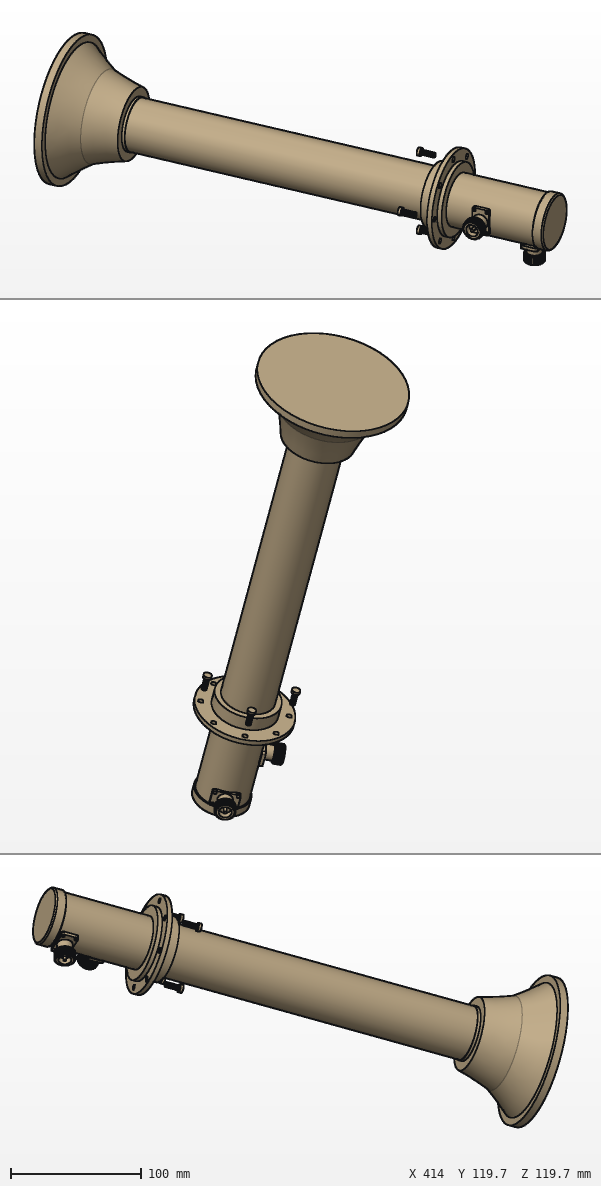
import cadquery as cq
import math

mouth_radius = 59.83
mouth_thickness = 6.5
flare_start_radius = 54.0
flare_middle_x = 29.0
flare_middle_radius = 37.5
flare_end_x = 56.7
flare_end_radius = 29.5
flare_sag = 0.5

overall_length = 414.0
tube_radius = 21.5
throat_length = 2.5
throat_radius = 22.0

flange_x = 323.8
flange_thickness = 4.0
flange_radius = 39.7
hub_length = 11.5
hub_radius = 26.5
ring_length = 3.7
ring_radius = 30.0
bolt_circle_radius = 34.8
bolt_hole_count = 8
bolt_hole_diameter = 4.0

cap_length = 8.5
cap_radius = 22.8
cap_chamfer = 1.2

side_connector_x = 361.5
bottom_connector_x = 396.5
plate_width = 14.0
plate_length = 22.5
plate_corner_radius = 1.5
plate_bottom = 20.3
plate_thickness = 3.0
plate_hole_diameter = 2.5
plate_hole_spacing_x = 10.8
plate_hole_spacing_y = 18.2
neck_radius = 6.2
nut_start = 30.2
nut_end = 38.5
nut_radius = 8.3
nut_chamfer = 1.2
knurl_count = 24
knurl_radius = 0.62
bore_radius = 5.0
bore_depth = 6.0
contact_radius = 1.2

screw_count = 4
screw_x = 298.0
screw_head_length = 2.5
screw_head_radius = 3.5
shank_radius = 2.0
thread_pitch = 1.0
thread_depth = 0.5
thread_count = 14


def disc(start_x, length, radius):
    """A cylinder along the tube axis."""
    return cq.Workplane("YZ", origin=(start_x, 0, 0)).circle(radius).extrude(length)


def concave_middle(start, end, sag):
    """The point halfway from start to end, moved towards the axis by the sag."""
    run = end[0] - start[0]
    drop = start[1] - end[1]
    chord = math.hypot(run, drop)
    return (
        (start[0] + end[0]) / 2 - sag * drop / chord,
        (start[1] + end[1]) / 2 - sag * run / chord,
    )


def make_horn():
    start = (mouth_thickness, flare_start_radius)
    middle = (flare_middle_x, flare_middle_radius)
    end = (flare_end_x, flare_end_radius)
    return (
        cq.Workplane("XY")
        .lineTo(0, mouth_radius)
        .lineTo(mouth_thickness, mouth_radius)
        .lineTo(*start)
        .threePointArc(concave_middle(start, middle, flare_sag), middle)
        .threePointArc(concave_middle(middle, end, flare_sag), end)
        .lineTo(flare_end_x, 0)
        .close()
        .revolve(360, (0, 0, 0), (1, 0, 0))
    )


def make_flange():
    plate = disc(flange_x, flange_thickness, flange_radius)
    holes = (
        cq.Workplane("YZ", origin=(flange_x, 0, 0))
        .polarArray(bolt_circle_radius, 0, 360, bolt_hole_count)
        .circle(bolt_hole_diameter / 2)
        .extrude(flange_thickness)
    )
    hub = disc(flange_x - hub_length, hub_length, hub_radius)
    ring = disc(flange_x + flange_thickness, ring_length, ring_radius)
    return plate.cut(holes).union(hub).union(ring)


def make_cap():
    cap = disc(overall_length - cap_length, cap_length, cap_radius)
    return cap.faces(">X").chamfer(cap_chamfer)


def make_connector():
    """A connector that points along +Z, with its foot on the tube axis."""
    plate = (
        cq.Workplane("XY", origin=(0, 0, plate_bottom))
        .rect(plate_width, plate_length)
        .extrude(plate_thickness)
        .edges("|Z")
        .fillet(plate_corner_radius)
    )
    plate_holes = (
        cq.Workplane("XY", origin=(0, 0, plate_bottom))
        .rect(plate_hole_spacing_x, plate_hole_spacing_y, forConstruction=True)
        .vertices()
        .circle(plate_hole_diameter / 2)
        .extrude(plate_thickness)
    )
    neck = cq.Workplane("XY").circle(neck_radius).extrude(nut_end)
    nut = (
        cq.Workplane("XY", origin=(0, 0, nut_start))
        .circle(nut_radius)
        .extrude(nut_end - nut_start)
        .faces("<Z or >Z")
        .chamfer(nut_chamfer)
    )
    knurls = (
        cq.Workplane("XY", origin=(0, 0, nut_start))
        .polarArray(nut_radius, 0, 360, knurl_count)
        .circle(knurl_radius)
        .extrude(nut_end - nut_start)
    )
    bore = (
        cq.Workplane("XY", origin=(0, 0, nut_end - bore_depth))
        .circle(bore_radius)
        .circle(contact_radius)
        .extrude(bore_depth)
    )
    return plate.cut(plate_holes).union(neck).union(nut.cut(knurls)).cut(bore)


def make_feeder():
    """The main body: horn, tube, flange, end cap and both connectors in one piece."""
    tube = disc(0, overall_length - cap_length, tube_radius)
    throat = disc(flare_end_x, throat_length, throat_radius)
    connector = make_connector()
    side_connector = connector.rotate((0, 0, 0), (1, 0, 0), 90).translate((side_connector_x, 0, 0))
    bottom_connector = connector.rotate((0, 0, 0), (1, 0, 0), 180).translate((bottom_connector_x, 0, 0))
    body = make_horn()
    for piece in (tube, throat, make_flange(), make_cap(), side_connector, bottom_connector):
        body = body.union(piece)
    return body


def make_screw(angle):
    """A screw along X with ring-shaped thread ridges, at one angle on the bolt circle."""
    head_end = screw_x + screw_head_length
    root_radius = shank_radius - thread_depth
    profile = (
        cq.Workplane("XY")
        .moveTo(screw_x, 0)
        .lineTo(screw_x, screw_head_radius)
        .lineTo(head_end, screw_head_radius)
        .lineTo(head_end, root_radius)
    )
    for index in range(thread_count):
        ridge_start = head_end + index * thread_pitch
        profile = profile.lineTo(ridge_start + thread_pitch / 2, shank_radius)
        profile = profile.lineTo(ridge_start + thread_pitch, root_radius)
    shank_end = head_end + thread_count * thread_pitch
    screw = profile.lineTo(shank_end, 0).close().revolve(360, (0, 0, 0), (1, 0, 0))
    return screw.translate((0, bolt_circle_radius, 0)).rotate((0, 0, 0), (1, 0, 0), angle)


feeder = make_feeder()
screws = [make_screw(index * 360 / screw_count) for index in range(screw_count)]

result = cq.Compound.makeCompound([feeder.val(), *[screw.val() for screw in screws]])